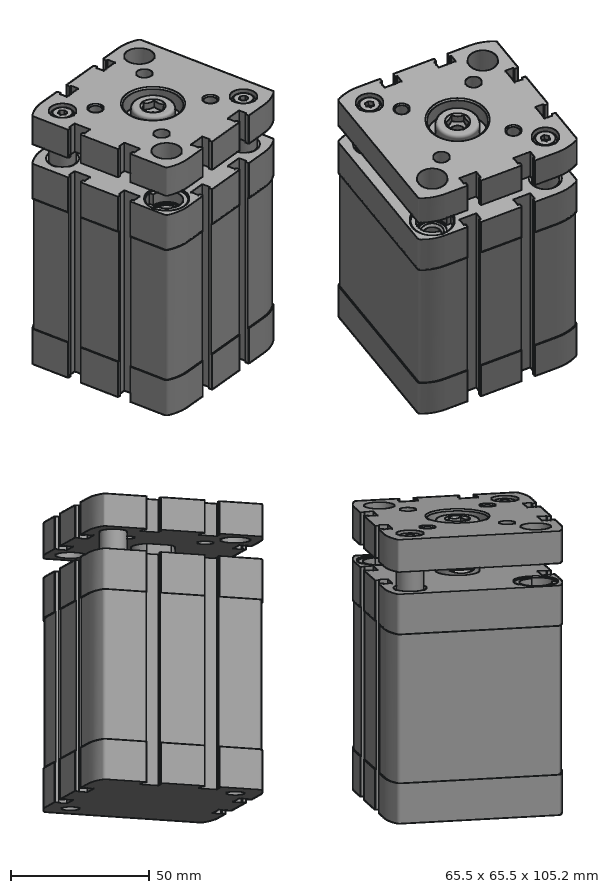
import cadquery as cq
import math

WIDTH = 65.5
HEIGHT = 105.2
HALF = WIDTH / 2
PLATE_THICKNESS = 12.0
HOUSING_TOP = 85.0
PLATE_BOTTOM = HEIGHT - PLATE_THICKNESS

FLAT_HALF_LENGTH = 23.2
SIDE_ARC_RADIUS = 18.0
PLATE_CORNER_RADIUS = 0.8
HOUSING_CORNER_RADIUS = 1.5
CAP_HEIGHT = 14.9
BARREL_INSET = 0.4

SLOT_OFFSET = 11.2
SLOT_MOUTH = 5.4
SLOT_LIP_CHAMFER = 0.2
SLOT_WIDTH = 6.9
SLOT_LIP = 1.7
SLOT_DEPTH = 4.9

CORNER_OFFSET = 23.4
ROD_DIAMETER = 10.0
ROD_BOTTOM = HOUSING_TOP - CAP_HEIGHT
ROD_LEAD_IN_DIAMETER = 12.0
SCREW_RECESS_DEPTH = 4.2
SCREW_HEAD_DIAMETER = 8.5
SCREW_HEAD_SINK = 0.7
SCREW_HEAD_CHAMFER = 0.6
SCREW_SOCKET_CORNERS = 3.5
SCREW_SOCKET_DEPTH = 2.1
SCREW_SOCKET_TURN = 45

PISTON_DIAMETER = 16.0
PISTON_SINK = 0.9
PISTON_FILLET = 1.2
FLATS_WIDTH = 13.0
FLATS_BOTTOM = 86.6
FLATS_RUNOUT = 0.8
PISTON_SOCKET_MOUTH = 9.2
PISTON_SOCKET_CORNERS = 8.5
PISTON_SOCKET_DEPTH = 3.2
PILOT_DIAMETER = 5.0
PILOT_DEPTH = 6.3
POINT_HALF_ANGLE = math.radians(59)

CENTRE_RECESS_DIAMETER = 22.0
CENTRE_RECESS_CHAMFER = 0.6
CENTRE_RECESS_DEPTH = 7.0
ACCESS_DIAMETER = 11.0
SMALL_HOLE_OFFSET = 14.8
DOWEL_DIAMETER = 6.0
THREAD_DIAMETER = 4.9

SEAT_RIM_DIAMETER = 16.4
SEAT_DIAMETER = 15.5
SEAT_BORE = 12.0
SEAT_DEPTH = 5.0
STEP_DIAMETER = 10.6
STEP_DEPTH = 0.4
MOUNT_MOUTH = 8.5
MOUNT_DIAMETER = 6.6

ROD_CORNERS = [(-1, -1), (1, 1)]
MOUNT_CORNERS = [(-1, 1), (1, -1)]


def cylinder(x, y, bottom, top, diameter):
    """Upright cylinder between two heights."""
    return cq.Workplane("XY", origin=(x, y, bottom)).circle(diameter / 2).extrude(top - bottom)


def cone(x, y, bottom, top, bottom_diameter, top_diameter):
    """Upright cone frustum between two heights."""
    solid = cq.Solid.makeCone(
        bottom_diameter / 2, top_diameter / 2, top - bottom, cq.Vector(x, y, bottom), cq.Vector(0, 0, 1)
    )
    return cq.Workplane(obj=solid)


def hexagon(x, y, bottom, top, corners):
    """Upright hexagonal prism, given its size across corners."""
    return cq.Workplane("XY", origin=(x, y, bottom)).polygon(6, corners).extrude(top - bottom)


def slab(bottom, top, half, corner_radius):
    """Square block whose X sides curve inwards towards the corners."""
    def bulge(y):
        from_arc_start = y - FLAT_HALF_LENGTH
        return half - SIDE_ARC_RADIUS + math.sqrt(SIDE_ARC_RADIUS**2 - from_arc_start**2)

    corner_x = bulge(half)
    middle_y = (FLAT_HALF_LENGTH + half) / 2
    middle_x = bulge(middle_y)
    block = (
        cq.Workplane("XY", origin=(0, 0, bottom))
        .moveTo(half, -FLAT_HALF_LENGTH)
        .lineTo(half, FLAT_HALF_LENGTH)
        .threePointArc((middle_x, middle_y), (corner_x, half))
        .lineTo(-corner_x, half)
        .threePointArc((-middle_x, middle_y), (-half, FLAT_HALF_LENGTH))
        .lineTo(-half, -FLAT_HALF_LENGTH)
        .threePointArc((-middle_x, -middle_y), (-corner_x, -half))
        .lineTo(corner_x, -half)
        .threePointArc((middle_x, -middle_y), (half, -FLAT_HALF_LENGTH))
        .close()
        .extrude(top - bottom)
    )
    return block.edges("|Z and (>Y or <Y)").fillet(corner_radius)


def cut_slots(block, bottom, top):
    """Cut two T-slots along Z into each of the -X, +X and -Y sides."""
    mouth_x = SLOT_MOUTH / 2
    flare_x = mouth_x + SLOT_LIP_CHAMFER
    cavity_x = SLOT_WIDTH / 2
    lip_y = -HALF + SLOT_LIP
    half_profile = [
        (flare_x, -HALF),
        (mouth_x, -HALF + SLOT_LIP_CHAMFER),
        (mouth_x, lip_y - SLOT_LIP_CHAMFER),
        (flare_x, lip_y),
        (cavity_x, lip_y),
        (cavity_x, -HALF + SLOT_DEPTH),
    ]
    other_half = [(-x, y) for x, y in reversed(half_profile)]
    profile = half_profile + other_half
    for offset in (-SLOT_OFFSET, SLOT_OFFSET):
        base = cq.Workplane("XY", origin=(offset, 0, bottom))
        slot = base.polyline(profile).close().extrude(top - bottom)
        for angle in (-90, 0, 90):
            block = block.cut(slot.rotate((0, 0, 0), (0, 0, 1), angle))
    return block


def mounting_hole(x, y):
    """Tool for a stepped through hole whose seat is widened over the quarter facing -X and -Y."""
    rim_depth = (SEAT_RIM_DIAMETER - SEAT_DIAMETER) / 2
    seat_floor = HOUSING_TOP - SEAT_DEPTH
    step_floor = seat_floor - STEP_DEPTH
    mouth_depth = (MOUNT_MOUTH - MOUNT_DIAMETER) / 2
    quarter_size = SEAT_DIAMETER / 2
    quarter = (
        cq.Workplane("XY", origin=(x, y, seat_floor))
        .rect(-quarter_size, -quarter_size, centered=False)
        .extrude(SEAT_DEPTH)
        .intersect(cylinder(x, y, seat_floor, HOUSING_TOP, SEAT_DIAMETER))
    )
    return (
        cylinder(x, y, 0, HOUSING_TOP, MOUNT_DIAMETER)
        .union(cone(x, y, step_floor - mouth_depth, step_floor, MOUNT_DIAMETER, MOUNT_MOUTH))
        .union(cylinder(x, y, step_floor, seat_floor, STEP_DIAMETER))
        .union(cylinder(x, y, seat_floor, HOUSING_TOP, SEAT_BORE))
        .union(quarter)
        .union(cone(x, y, HOUSING_TOP - rim_depth, HOUSING_TOP, SEAT_DIAMETER, SEAT_RIM_DIAMETER))
    )


def make_housing():
    """Slotted barrel with two end caps, bored for the rods of the slide."""
    upper_cap_bottom = HOUSING_TOP - CAP_HEIGHT
    body = (
        slab(0, CAP_HEIGHT, HALF, HOUSING_CORNER_RADIUS)
        .union(slab(CAP_HEIGHT, upper_cap_bottom, HALF - BARREL_INSET, HOUSING_CORNER_RADIUS))
        .union(slab(upper_cap_bottom, HOUSING_TOP, HALF, HOUSING_CORNER_RADIUS))
    )
    body = cut_slots(body, 0, HOUSING_TOP)
    body = body.cut(cylinder(0, 0, ROD_BOTTOM, HOUSING_TOP, PISTON_DIAMETER))
    lead_in = (ROD_LEAD_IN_DIAMETER - ROD_DIAMETER) / 2
    for side_x, side_y in ROD_CORNERS:
        x, y = side_x * CORNER_OFFSET, side_y * CORNER_OFFSET
        body = body.cut(cylinder(x, y, ROD_BOTTOM, HOUSING_TOP, ROD_DIAMETER))
        body = body.cut(cone(x, y, HOUSING_TOP - lead_in, HOUSING_TOP, ROD_DIAMETER, ROD_LEAD_IN_DIAMETER))
    for side_x, side_y in MOUNT_CORNERS:
        body = body.cut(mounting_hole(side_x * CORNER_OFFSET, side_y * CORNER_OFFSET))
    return body


def make_plate():
    """Slotted front plate with its centre recess and its holes."""
    plate = cut_slots(slab(PLATE_BOTTOM, HEIGHT, HALF, PLATE_CORNER_RADIUS), PLATE_BOTTOM, HEIGHT)
    plate = plate.cut(cylinder(0, 0, HEIGHT - CENTRE_RECESS_DEPTH, HEIGHT, CENTRE_RECESS_DIAMETER))
    recess_mouth = CENTRE_RECESS_DIAMETER + 2 * CENTRE_RECESS_CHAMFER
    plate = plate.cut(
        cone(0, 0, HEIGHT - CENTRE_RECESS_CHAMFER, HEIGHT, CENTRE_RECESS_DIAMETER, recess_mouth)
    )
    for side_x, side_y in MOUNT_CORNERS:
        x, y = side_x * CORNER_OFFSET, side_y * CORNER_OFFSET
        plate = plate.cut(cylinder(x, y, PLATE_BOTTOM, HEIGHT, ACCESS_DIAMETER))
        x, y = side_x * SMALL_HOLE_OFFSET, side_y * SMALL_HOLE_OFFSET
        plate = plate.cut(cylinder(x, y, PLATE_BOTTOM, HEIGHT, DOWEL_DIAMETER))
    countersink = (DOWEL_DIAMETER - THREAD_DIAMETER) / 2
    for side_x, side_y in ROD_CORNERS:
        x, y = side_x * SMALL_HOLE_OFFSET, side_y * SMALL_HOLE_OFFSET
        plate = plate.cut(cylinder(x, y, PLATE_BOTTOM, HEIGHT, THREAD_DIAMETER))
        plate = plate.cut(cone(x, y, HEIGHT - countersink, HEIGHT, THREAD_DIAMETER, DOWEL_DIAMETER))
    return plate


def add_guide_rod(plate, x, y):
    """Join a guide rod to the plate and form the screw head in a recess above it."""
    recess_floor = HEIGHT - SCREW_RECESS_DEPTH
    head_top = HEIGHT - SCREW_HEAD_SINK
    head = cylinder(x, y, recess_floor, head_top, SCREW_HEAD_DIAMETER)
    head = head.faces(">Z").edges().chamfer(SCREW_HEAD_CHAMFER)
    socket = hexagon(x, y, head_top - SCREW_SOCKET_DEPTH, head_top, SCREW_SOCKET_CORNERS)
    head = head.cut(socket.rotate((x, y, 0), (x, y, 1), SCREW_SOCKET_TURN))
    return (
        plate.cut(cylinder(x, y, recess_floor, HEIGHT, ROD_DIAMETER))
        .union(cylinder(x, y, ROD_BOTTOM, PLATE_BOTTOM, ROD_DIAMETER))
        .union(head)
    )


def wrench_flat():
    """Tool for the wrench flat on the -Y side of the piston rod, with a sloping lower end."""
    flat_y = -FLATS_WIDTH / 2
    rod_y = -PISTON_DIAMETER / 2
    return (
        cq.Workplane("YZ", origin=(-PISTON_DIAMETER / 2, 0, 0))
        .polyline(
            [
                (flat_y, PLATE_BOTTOM),
                (flat_y, FLATS_BOTTOM),
                (rod_y, FLATS_BOTTOM - FLATS_RUNOUT),
                (rod_y, PLATE_BOTTOM),
            ]
        )
        .close()
        .extrude(PISTON_DIAMETER)
    )


def make_piston_rod():
    """Piston rod with wrench flats, a rounded end, a hexagon socket and a pilot hole."""
    top = HEIGHT - PISTON_SINK
    rod = cylinder(0, 0, ROD_BOTTOM, top, PISTON_DIAMETER).faces(">Z").edges().fillet(PISTON_FILLET)
    rod = rod.cut(wrench_flat()).cut(wrench_flat().mirror("XZ"))

    socket_floor = top - PISTON_SOCKET_DEPTH
    pilot_floor = socket_floor - PILOT_DEPTH
    mouth_depth = PISTON_SOCKET_MOUTH / 2
    point_depth = PILOT_DIAMETER / 2 / math.tan(POINT_HALF_ANGLE)
    countersink_depth = (PISTON_SOCKET_CORNERS - PILOT_DIAMETER) / 2 / math.tan(POINT_HALF_ANGLE)
    countersink = cone(
        0, 0, socket_floor - countersink_depth, socket_floor, PILOT_DIAMETER, PISTON_SOCKET_CORNERS
    ).intersect(hexagon(0, 0, pilot_floor, top, PISTON_SOCKET_CORNERS))
    return (
        rod.cut(hexagon(0, 0, socket_floor, top, PISTON_SOCKET_CORNERS))
        .cut(cone(0, 0, top - mouth_depth, top, 0, PISTON_SOCKET_MOUTH))
        .cut(countersink)
        .cut(cylinder(0, 0, pilot_floor, socket_floor, PILOT_DIAMETER))
        .cut(cone(0, 0, pilot_floor - point_depth, pilot_floor, 0, PILOT_DIAMETER))
    )


def make_slide():
    """Front plate, guide rods, screws and piston rod, moving together as one body."""
    slide = make_plate()
    for side_x, side_y in ROD_CORNERS:
        slide = add_guide_rod(slide, side_x * CORNER_OFFSET, side_y * CORNER_OFFSET)
    piston_hole = cylinder(0, 0, PLATE_BOTTOM, HEIGHT, PISTON_DIAMETER)
    return slide.cut(piston_hole).union(make_piston_rod())


housing = make_housing()
slide = make_slide()

result = cq.Compound.makeCompound([housing.val(), slide.val()])